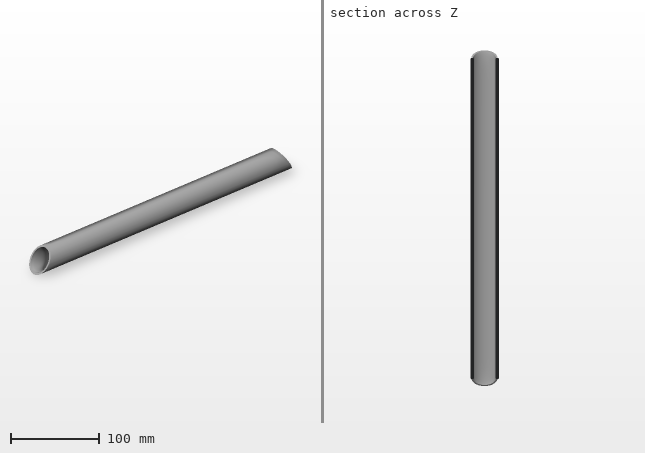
import cadquery as cq

outer_diameter = 30.0
wall = 2.0
bottom_length = 378.62
axis_length = 360.0

outer_radius = outer_diameter / 2
bore_radius = outer_radius - wall
top_length = 2 * axis_length - bottom_length
half_bottom = bottom_length / 2
half_top = top_length / 2


def round_tube():
    """Square-ended tube centred on the origin, with its axis along Y."""
    return (
        cq.Workplane("XZ", origin=(0, half_bottom, 0))
        .circle(outer_radius)
        .circle(bore_radius)
        .extrude(bottom_length)
    )


def miter_envelope():
    """Trapezoidal block whose sloping sides are the two miter planes."""
    return (
        cq.Workplane("YZ", origin=(-outer_radius, 0, 0))
        .moveTo(-half_bottom, -outer_radius)
        .lineTo(half_bottom, -outer_radius)
        .lineTo(half_top, outer_radius)
        .lineTo(-half_top, outer_radius)
        .close()
        .extrude(outer_diameter)
    )


result = round_tube().intersect(miter_envelope())